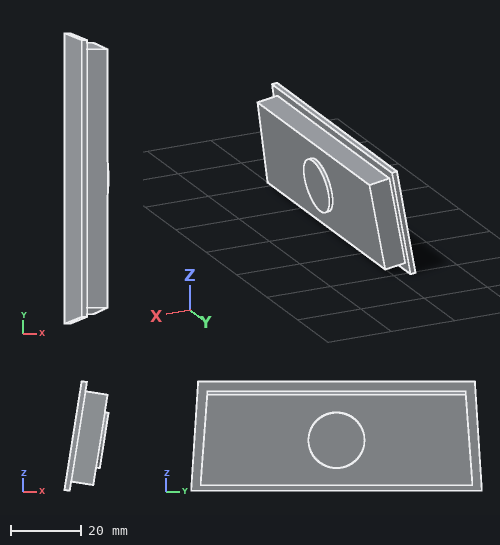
import cadquery as cq

tilt_angle = 9.0
plate_bottom_width = 82.8
plate_top_width = 78.9
plate_height = 31.4
plate_thickness = 1.6
body_bottom_width = 77.4
body_top_width = 73.6
body_margin = 2.65
body_depth = 6.4
disc_diameter = 16.0
disc_thickness = 1.1

body_height = plate_height - 2 * body_margin
body_back = plate_thickness + body_depth


def trapezoid_slab(bottom_width, top_width, height, front, thickness):
    """Upright slab, centred on Y and Z, that extends along +X from its front face."""
    outline = [
        (-bottom_width / 2, -height / 2),
        (bottom_width / 2, -height / 2),
        (top_width / 2, height / 2),
        (-top_width / 2, height / 2),
    ]
    return cq.Workplane("YZ", origin=(front, 0, 0)).polyline(outline).close().extrude(thickness)


plate = trapezoid_slab(plate_bottom_width, plate_top_width, plate_height, 0, plate_thickness)

body = trapezoid_slab(body_bottom_width, body_top_width, body_height, plate_thickness, body_depth)

disc = (
    cq.Workplane("YZ", origin=(body_back, 0, 0))
    .circle(disc_diameter / 2)
    .extrude(disc_thickness)
)

result = plate.union(body).union(disc).rotate((0, 0, 0), (0, 1, 0), tilt_angle)